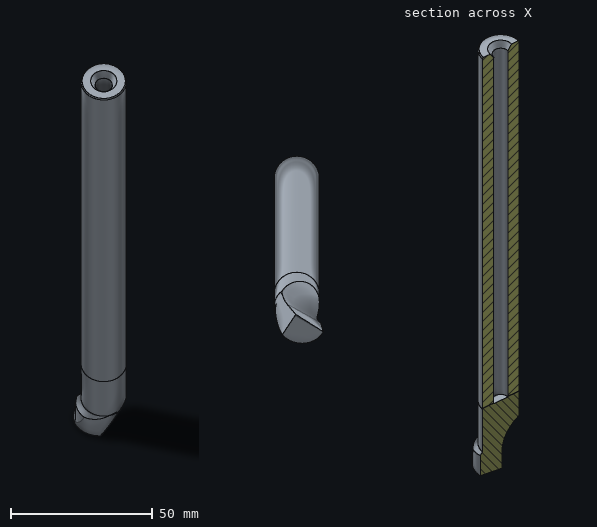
import cadquery as cq
import math

total_length = 201.2
shank_diameter = 16.0
shank_edge_chamfer = 0.5
head_length = 33.0

bore_diameter = 6.0
mouth_diameter = 9.3
mouth_depth = 2.5

tip_reach = 10.9
nose_radius = 9.0
nose_top_z = 10.3
nose_lean = 1.0
nose_center_y = -0.5

ledge_top_z = 12.5

heel_radius = 9.3
heel_center = (-1.8, 0.2)

rake_angle = 5.5
run_out_slant = 14.0
rake_tip_y = -0.5
flute_end_z = 22.1
flute_radius = 15.0
flute_width = 60.4

back_cut_bottom_x = 0.8
back_cut_top_z = 14.0

end_relief_angle = 8.0
end_edge_angle = 0.5

block_size = 80.5

shank_radius = shank_diameter / 2


def make_shank():
    length = total_length - head_length
    shank = (
        cq.Workplane("XY", origin=(0, 0, head_length))
        .circle(shank_radius)
        .extrude(length)
        .faces(">Z")
        .chamfer(shank_edge_chamfer)
    )
    bore = cq.Workplane("XY", origin=(0, 0, head_length)).circle(bore_diameter / 2).extrude(length)
    mouth = (
        cq.Workplane("XY", origin=(0, 0, total_length))
        .circle(mouth_diameter / 2)
        .workplane(offset=-mouth_depth)
        .circle(bore_diameter / 2)
        .loft(ruled=True)
    )
    return shank.cut(bore).cut(mouth)


def make_nose():
    tip_center_x = nose_radius - tip_reach
    top_center_x = tip_center_x + nose_lean
    nose = (
        cq.Workplane("XY")
        .center(tip_center_x, nose_center_y)
        .circle(nose_radius)
        .workplane(offset=nose_top_z)
        .center(nose_lean, 0)
        .circle(nose_radius)
        .loft(ruled=True)
    )
    ledge = (
        cq.Workplane("XY", origin=(0, 0, nose_top_z))
        .center(top_center_x, nose_center_y)
        .circle(nose_radius)
        .workplane(offset=ledge_top_z - nose_top_z)
        .center(-top_center_x, -nose_center_y)
        .circle(shank_radius)
        .loft(ruled=True)
    )
    heel = cq.Workplane("XY").center(*heel_center).circle(heel_radius).extrude(ledge_top_z)
    return nose.union(ledge).intersect(heel)


def make_flute_cutter():
    rise = shank_radius - rake_tip_y
    run_out = math.sqrt(flute_radius**2 - (flute_radius - rise) ** 2)
    arc_start_z = flute_end_z - run_out
    half_angle = math.asin(run_out / flute_radius) / 2
    arc_middle = (
        flute_radius * (1 - math.cos(half_angle)),
        arc_start_z + flute_radius * math.sin(half_angle),
    )
    return (
        cq.Workplane("YZ")
        .moveTo(0, -block_size)
        .lineTo(0, arc_start_z)
        .threePointArc(arc_middle, (rise, flute_end_z))
        .lineTo(2 * rise, flute_end_z)
        .lineTo(2 * rise, -block_size)
        .close()
        .extrude(flute_width / 2, both=True)
        .rotate((0, 0, flute_end_z), (0, 1, flute_end_z), run_out_slant)
        .translate((0, rake_tip_y, 0))
        .rotate((-tip_reach, rake_tip_y, 0), (-tip_reach, rake_tip_y, 1), rake_angle)
    )


def make_back_cutter():
    return (
        cq.Workplane("XZ")
        .polyline(
            [
                (back_cut_bottom_x, 0),
                (shank_radius, back_cut_top_z),
                (block_size, back_cut_top_z),
                (block_size, 0),
            ]
        )
        .close()
        .extrude(block_size / 2, both=True)
    )


def make_end_cutter():
    return (
        cq.Workplane("XY")
        .box(block_size, block_size, block_size, centered=(True, True, False))
        .translate((0, 0, -block_size))
        .rotate((0, 0, 0), (1, 0, 0), -end_relief_angle)
        .rotate((0, 0, 0), (0, 1, 0), -end_edge_angle)
        .translate((-tip_reach, rake_tip_y, 0))
    )


def make_head():
    neck = (
        cq.Workplane("XY", origin=(0, 0, ledge_top_z))
        .circle(shank_radius)
        .extrude(head_length - ledge_top_z)
    )
    return (
        neck.union(make_nose())
        .cut(make_flute_cutter())
        .cut(make_back_cutter())
        .cut(make_end_cutter())
    )


shank = make_shank()
head = make_head()
result = cq.Compound.makeCompound([shank.val(), head.val()])